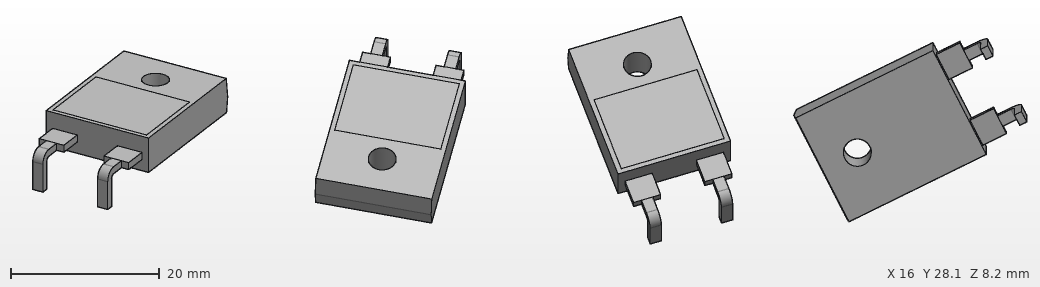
import cadquery as cq

total_length = 28.12
total_height = 8.2

housing_width = 16.0
housing_length = 20.95
housing_height = 5.2
ridge_drop = 2.95
back_inset_top = 0.4
back_inset_bottom = 0.3
hole_diameter = 3.75
hole_y = 15.38

plate_width = 14.62
plate_length = 11.35
plate_thickness = 0.55
plate_front_margin = 0.65

terminal_spacing = 10.12
terminal_thickness = 1.07
terminal_drop = 2.42
tab_width = 3.85
tab_length = 3.55
lead_width = 1.6
bend_outer_radius = 1.57

housing_bottom = total_height - housing_height
plate_bottom = total_height - plate_thickness
terminal_top = total_height - terminal_drop
terminal_bottom = terminal_top - terminal_thickness
lead_start = -tab_length
lead_end = housing_length - total_length
bend_inner_radius = bend_outer_radius - terminal_thickness
terminal_positions = (-terminal_spacing / 2, terminal_spacing / 2)


def make_plate():
    """Rectangular plate with its top flush with the housing."""
    return (
        cq.Workplane("XY", origin=(0, plate_front_margin, plate_bottom))
        .box(plate_width, plate_length, plate_thickness, centered=(True, False, False))
    )


def make_housing(plate):
    """Block with a ridged back face, a through hole and a recess for the plate."""
    profile = [
        (0, housing_bottom),
        (housing_length - back_inset_bottom, housing_bottom),
        (housing_length, total_height - ridge_drop),
        (housing_length - back_inset_top, total_height),
        (0, total_height),
    ]
    block = cq.Workplane("YZ").polyline(profile).close().extrude(housing_width / 2, both=True)
    hole = (
        cq.Workplane("XY", origin=(0, hole_y, housing_bottom))
        .circle(hole_diameter / 2)
        .extrude(housing_height)
    )
    return block.cut(hole).cut(plate)


def make_tab(x):
    """Wide flat tab standing out from the housing front."""
    return (
        cq.Workplane("XY", origin=(x, lead_start, terminal_bottom))
        .box(tab_width, tab_length, terminal_thickness, centered=(True, False, False))
    )


def make_lead(x):
    """Narrow lead that runs out from the tab and bends down."""
    lead_inner_face = lead_end + terminal_thickness
    outline = [
        (lead_start, terminal_top),
        (lead_end, terminal_top),
        (lead_end, 0),
        (lead_inner_face, 0),
        (lead_inner_face, terminal_bottom),
        (lead_start, terminal_bottom),
    ]
    lead = (
        cq.Workplane("YZ", origin=(x, 0, 0))
        .polyline(outline).close()
        .extrude(lead_width / 2, both=True)
    )
    outer_corner = cq.selectors.NearestToPointSelector((x, lead_end, terminal_top))
    inner_corner = cq.selectors.NearestToPointSelector((x, lead_inner_face, terminal_bottom))
    lead = lead.edges("|X").edges(outer_corner).fillet(bend_outer_radius)
    return lead.edges("|X").edges(inner_corner).fillet(bend_inner_radius)


plate = make_plate()
housing = make_housing(plate)
tabs = [make_tab(x) for x in terminal_positions]
leads = [make_lead(x) for x in terminal_positions]

result = cq.Compound.makeCompound([
    housing.val(),
    plate.val(),
    *[tab.val() for tab in tabs],
    *[lead.val() for lead in leads],
])